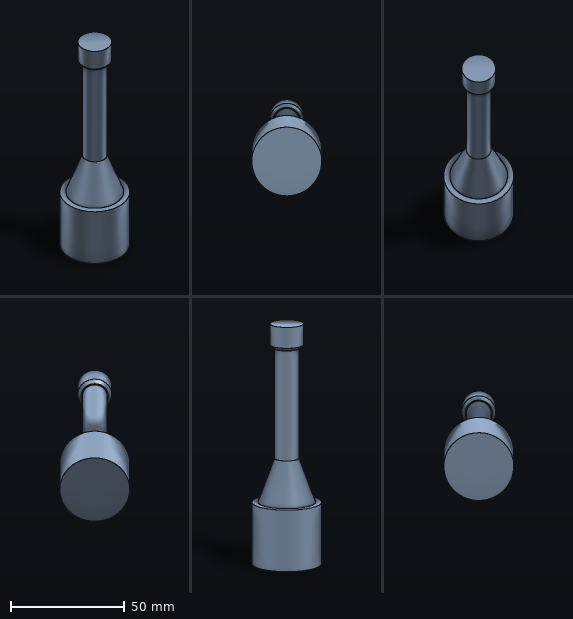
import cadquery as cq

total_height = 109.0
base_height = 28.0
cone_height = 20.0
head_height = 11.0
shaft_height = total_height - base_height - cone_height - head_height

base_diameter = 31.0
cone_bottom_diameter = 25.5
shaft_diameter = 11.0
head_diameter = 15.0

bevel = 1.5

cone_bottom = base_height
cone_top = cone_bottom + cone_height
head_bottom = cone_top + shaft_height


def cylinder(diameter, bottom, height):
    """Upright cylinder on the Z axis."""
    return cq.Workplane("XY").workplane(offset=bottom).circle(diameter / 2).extrude(height)


base = cylinder(base_diameter, 0, base_height)

cone = cq.Workplane(
    cq.Solid.makeCone(
        cone_bottom_diameter / 2,
        shaft_diameter / 2,
        cone_height,
        pnt=cq.Vector(0, 0, cone_bottom),
    )
)

shaft = cylinder(shaft_diameter, cone_top, shaft_height)

head = cylinder(head_diameter, head_bottom, head_height).faces("<Z").edges().chamfer(bevel)

result = base.union(cone).union(shaft).union(head)